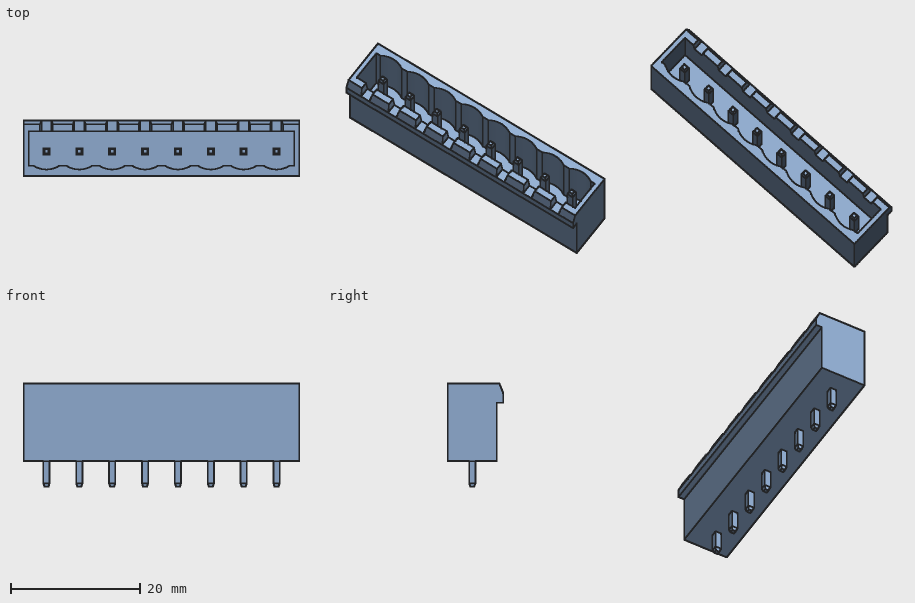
import cadquery as cq


pin_count = 8
pitch = 5.08
pin_width = 1.0
pin_below = 4.0
pin_top = 10.0
tip_length = 0.6
tip_width = 0.6

end_margin = 3.54
length = (pin_count - 1) * pitch + 2 * end_margin
height = 12.0
depth = 7.6
front_y = -depth / 2
back_y = depth / 2

ledge_reach = 1.0
ledge_height = 3.0
ledge_y = back_y + ledge_reach
bevel_depth = 0.6
bevel_height = 1.5

end_wall = 0.8
front_wall = 1.6
back_wall = 0.7
floor_thickness = 3.0
cavity_front_y = front_y + front_wall
cavity_back_y = back_y - back_wall
cavity_height = height - floor_thickness

scallop_width = 4.0
scallop_sag = 0.6

notch_top_width = 2.0
notch_bottom_width = 1.5
notch_depth = 1.5

pin_positions = [(i - (pin_count - 1) / 2) * pitch for i in range(pin_count)]


def housing_block():
    """Solid housing with its beveled ledge, extruded along X from its YZ profile."""
    profile = [
        (front_y, 0),
        (back_y, 0),
        (back_y, height - ledge_height),
        (ledge_y, height - ledge_height),
        (ledge_y, height - bevel_height),
        (ledge_y - bevel_depth, height),
        (front_y, height),
    ]
    return cq.Workplane("YZ").polyline(profile).close().extrude(length / 2, both=True)


def cavity():
    """Straight-walled cavity whose front side bulges into a shallow arc at each pin."""
    half_length = length / 2 - end_wall
    outline = cq.Workplane("XY", origin=(0, 0, floor_thickness)).moveTo(-half_length, cavity_front_y)
    for x in pin_positions:
        outline = outline.lineTo(x - scallop_width / 2, cavity_front_y).threePointArc(
            (x, cavity_front_y - scallop_sag),
            (x + scallop_width / 2, cavity_front_y),
        )
    return (
        outline.lineTo(half_length, cavity_front_y)
        .lineTo(half_length, cavity_back_y)
        .lineTo(-half_length, cavity_back_y)
        .close()
        .extrude(cavity_height)
    )


def notch(x):
    """Tapered cutter that opens the back wall behind the pin at x."""
    profile = [
        (x - notch_top_width / 2, height),
        (x - notch_bottom_width / 2, height - notch_depth),
        (x + notch_bottom_width / 2, height - notch_depth),
        (x + notch_top_width / 2, height),
    ]
    return (
        cq.Workplane("XZ", origin=(0, ledge_y, 0))
        .polyline(profile)
        .close()
        .extrude(ledge_y - cavity_back_y)
    )


def pin_tip(x, base_z, direction):
    """Tapered end of a pin, pointing up (direction 1) or down (direction -1)."""
    return (
        cq.Workplane("XY", origin=(x, 0, base_z))
        .rect(pin_width, pin_width)
        .workplane(offset=direction * tip_length)
        .rect(tip_width, tip_width)
        .loft()
    )


def pin(x):
    """Square pin through the housing floor, tapered at both ends."""
    shank_bottom = tip_length - pin_below
    shank_top = pin_top - tip_length
    shank = (
        cq.Workplane("XY", origin=(x, 0, shank_bottom))
        .rect(pin_width, pin_width)
        .extrude(shank_top - shank_bottom)
    )
    return shank.union(pin_tip(x, shank_top, 1)).union(pin_tip(x, shank_bottom, -1))


result = housing_block().cut(cavity())
for pin_x in pin_positions:
    result = result.cut(notch(pin_x))
for pin_x in pin_positions:
    result = result.union(pin(pin_x))